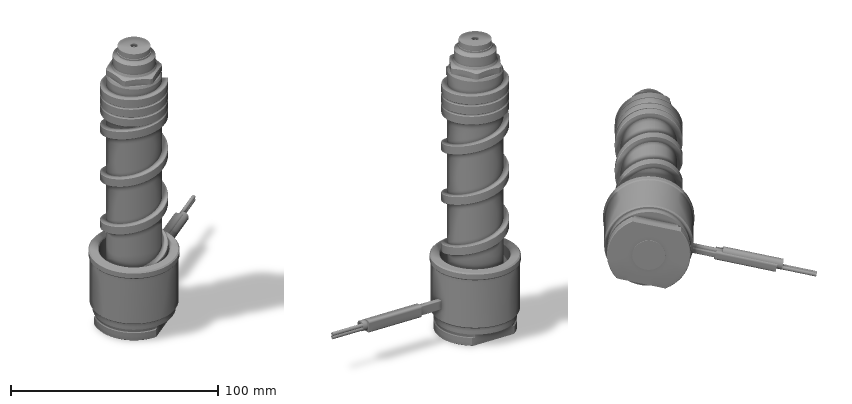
import cadquery as cq
import math

total_height = 156.3
collar_radius = 22.0
body_radius = 21.5
base_ring_radius = 20.2
neck_radius = 19.2
bore_radius = 17.0
bottom_pad_radius = 8.0

bottom_pad_height = 0.3
flange_top = 4.7
neck_top = 6.5
base_ring_top = 10.3
collar_bottom = 36.5
housing_top = 40.5
bore_floor = 18.8
housing_edge_chamfer = 0.6
rim_chamfer = 0.5
flange_chamfer = 0.3
foot_across_flats = 32.0

tube_radius = 13.6
tube_shoulder_bottom = 139.7
tube_shoulder_radius = 13.0
hex_bottom = 141.0
hex_top = 144.9
hex_across_flats = 24.2
hex_corner_radius = 13.6
hex_cone_height = 1.0
nose_radius = 10.3
nose_foot_radius = 11.0
nose_foot_top = 146.0
nose_cone_bottom = 151.1
nose_cone_top = 152.5
nose_lip_top = 153.5
nose_lip_radius = 8.3
tip_radius = 8.0
centre_hole_radius = 1.7
centre_hole_depth = 1.9
centre_cone_height = 1.5

spring_outer_radius = 16.4
spring_inner_radius = 13.3
wire_height = 4.7
wire_chamfer = 0.23
open_pitch = 27.2
closed_pitch = 5.5
open_coil_end_angle = 252.0
open_coil_end_z = 113.2
transition_angle = 105.0
closed_coil_end_angle = 1466.0
wire_embed = 0.2
spline_points_per_turn = 24

cable_x = -1.4
cable_z = 19.4
cable_inner_end = 18.8
cable_width = 2.7
cable_height = 5.2
cable_fillet = 0.5
cable_cover_start = 33.3
cable_cover_end = 63.6
cable_cover_width = 4.5
cable_cover_height = 6.3
cable_cover_fillet = 1.1
sleeve_radius = 2.7
sleeve_start = 36.4
sleeve_end = 66.3
core_radius = 1.3
wire_end_y = 83.5
wire_radius = 1.0
wire_spacing = 1.7


def revolve_profile(points):
    """Solid of revolution about Z from (radius, z) points."""
    return cq.Workplane("XZ").polyline(points).close().revolve(360, (0, 0, 0), (0, 1, 0))


def make_housing():
    c = housing_edge_chamfer
    f = flange_chamfer
    housing = revolve_profile([
        (0, bottom_pad_height),
        (base_ring_radius - f, bottom_pad_height),
        (base_ring_radius, bottom_pad_height + f),
        (base_ring_radius, flange_top),
        (neck_radius, flange_top),
        (neck_radius, neck_top),
        (base_ring_radius, neck_top),
        (base_ring_radius, base_ring_top),
        (body_radius - c, base_ring_top),
        (body_radius, base_ring_top + c),
        (body_radius, collar_bottom),
        (collar_radius, collar_bottom + c),
        (collar_radius, housing_top - c),
        (collar_radius - c, housing_top),
        (bore_radius + rim_chamfer, housing_top),
        (bore_radius, housing_top - rim_chamfer),
        (bore_radius, bore_floor),
        (0, bore_floor),
    ])
    for side in (-1, 1):
        flat_cut = (
            cq.Workplane("XY")
            .box(base_ring_radius, 2 * collar_radius, neck_top, centered=(True, True, False))
            .translate((side * (foot_across_flats + base_ring_radius) / 2, 0, 0))
        )
        housing = housing.cut(flat_cut)
    pad = cq.Workplane("XY").circle(bottom_pad_radius).extrude(flange_top)
    return housing.union(pad)


def make_tube():
    return revolve_profile([
        (0, flange_top),
        (tube_radius, flange_top),
        (tube_radius, tube_shoulder_bottom),
        (tube_shoulder_radius, hex_bottom),
        (nose_foot_radius, hex_bottom),
        (nose_foot_radius, hex_top),
        (nose_radius, nose_foot_top),
        (nose_radius, nose_cone_bottom),
        (nose_lip_radius, nose_cone_top),
        (nose_lip_radius, nose_lip_top),
        (tip_radius, nose_lip_top),
        (tip_radius, total_height),
        (centre_hole_radius, total_height),
        (centre_hole_radius, total_height - centre_hole_depth),
        (0, total_height - centre_hole_depth + centre_cone_height),
    ])


def make_hexagon():
    """Hexagon with flats facing -X and +X, turned corners and a conical top."""
    prism = (
        cq.Workplane("XY", origin=(0, 0, hex_bottom))
        .polygon(6, hex_across_flats, circumscribed=True)
        .extrude(hex_top - hex_bottom)
    )
    turned_blank = revolve_profile([
        (0, hex_bottom),
        (hex_corner_radius, hex_bottom),
        (hex_corner_radius, hex_top - hex_cone_height),
        (nose_foot_radius, hex_top),
        (0, hex_top),
    ])
    return prism.intersect(turned_blank)


def wire_centre_z(angle):
    """Height of the spring wire centre at an unwrapped angle in degrees."""
    past_open = angle - open_coil_end_angle
    if past_open <= 0:
        return open_coil_end_z + open_pitch * past_open / 360
    slowed = min(past_open, transition_angle)
    lost_pitch = (open_pitch - closed_pitch) * slowed / transition_angle
    z = open_coil_end_z + (open_pitch - lost_pitch / 2) * slowed / 360
    return z + closed_pitch * (past_open - slowed) / 360


def make_spring():
    bottom_centre_z = bore_floor + wire_height / 2 - wire_embed
    start_angle = open_coil_end_angle - 360 * (open_coil_end_z - bottom_centre_z) / open_pitch
    sweep_angle = closed_coil_end_angle - start_angle
    steps = math.ceil(sweep_angle / 360 * spline_points_per_turn)
    angles = [start_angle + sweep_angle * i / steps for i in range(steps + 1)]

    def rail(radius, offset):
        points = [
            cq.Vector(
                radius * math.cos(math.radians(a)),
                radius * math.sin(math.radians(a)),
                wire_centre_z(a) + offset,
            )
            for a in angles
        ]
        return cq.Edge.makeSpline(points)

    half = wire_height / 2
    section = [
        (spring_inner_radius, -half),
        (spring_outer_radius - wire_chamfer, -half),
        (spring_outer_radius, -half + wire_chamfer),
        (spring_outer_radius, half - wire_chamfer),
        (spring_outer_radius - wire_chamfer, half),
        (spring_inner_radius, half),
    ]
    rails = [rail(radius, offset) for radius, offset in section]
    faces = [cq.Face.makeRuledSurface(rails[i - 1], rails[i]) for i in range(len(rails))]
    for end in (0, 1):
        corners = [r.positionAt(end) for r in rails]
        faces.append(cq.Face.makeFromWires(cq.Wire.makePolygon(corners, close=True)))
    return cq.Workplane(cq.Solid.makeSolid(cq.Shell.makeShell(faces)))


def cable_bar(width, height, fillet, start, end):
    """Rounded rectangular bar along Y, centred on the cable."""
    return (
        cq.Workplane("XY")
        .box(width, end - start, height)
        .edges("|Y")
        .fillet(fillet)
        .translate((cable_x, (start + end) / 2, cable_z))
    )


def cable_rod(radius, x, z, start, end):
    """Round rod along Y."""
    return cq.Workplane(
        cq.Solid.makeCylinder(radius, end - start, cq.Vector(x, start, z), cq.Vector(0, 1, 0))
    )


def make_cable():
    cable = cable_bar(cable_width, cable_height, cable_fillet, cable_inner_end, cable_cover_end)
    cable = cable.union(cable_bar(
        cable_cover_width, cable_cover_height, cable_cover_fillet, cable_cover_start, cable_cover_end
    ))
    cable = cable.union(cable_rod(core_radius, 0, cable_z, cable_inner_end, sleeve_end))
    cable = cable.union(cable_rod(sleeve_radius, 0, cable_z, sleeve_start, sleeve_end))
    for side in (-1, 1):
        wire_z = cable_z + side * wire_spacing / 2
        cable = cable.union(cable_rod(wire_radius, cable_x, wire_z, cable_cover_start, wire_end_y))
    return cable


result = (
    make_housing()
    .union(make_tube())
    .union(make_hexagon())
    .union(make_spring())
    .union(make_cable())
)